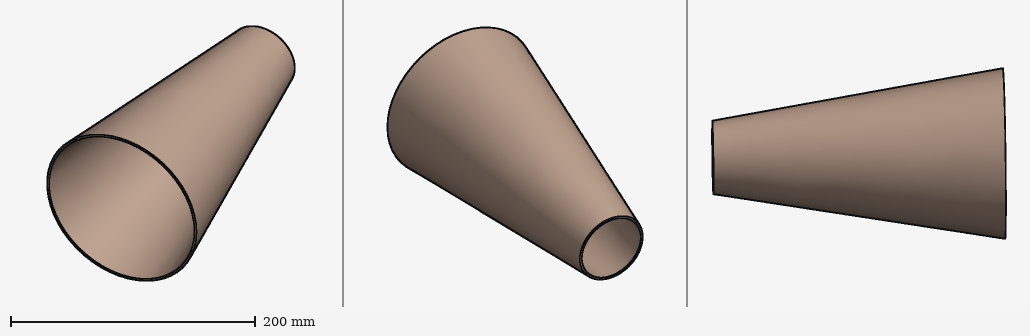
import cadquery as cq

length = 238.0
large_diameter = 139.7
small_diameter = 60.2
wall = 2.0

large_radius = large_diameter / 2
small_radius = small_diameter / 2

wide_end = -length / 2
narrow_end = length / 2
wall_section = [
    (large_radius - wall, wide_end),
    (large_radius, wide_end),
    (small_radius, narrow_end),
    (small_radius - wall, narrow_end),
]

result = (
    cq.Workplane("XY")
    .polyline(wall_section)
    .close()
    .revolve(360, (0, 0, 0), (0, 1, 0))
)